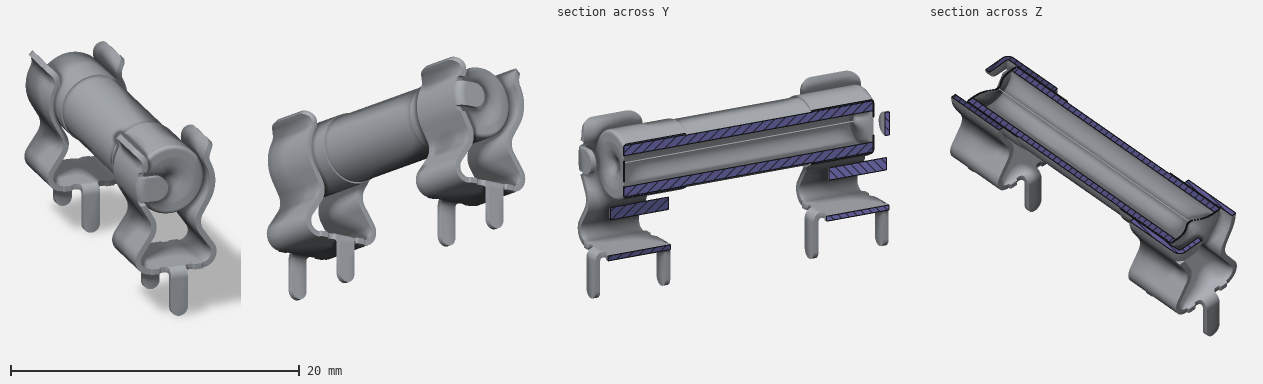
import cadquery as cq
import math


fuse_length = 20.0
cap_diameter = 5.0
cap_length = 5.0
cap_edge_radius = 0.25
tube_diameter = 4.8
tube_bore = 3.8
wire_diameter = 0.1
cap_wall = (cap_diameter - tube_diameter) / 2

funnel_mouth_radius = 1.7
funnel_throat_radius = 0.35
funnel_flare_radius = 2.18
funnel_angle = math.asin((funnel_mouth_radius - funnel_throat_radius) / funnel_flare_radius)
funnel_bottom_radius = funnel_throat_radius / math.sin(funnel_angle)
funnel_depth = (funnel_flare_radius + funnel_bottom_radius) * (1 - math.cos(funnel_angle))

sheet = 0.4
clip_span = 6.0
clip_width = 4.65
clip_depth = 6.0
overall_length = 23.4
clip_x = -(overall_length - clip_span) / 2
clip_end_x = clip_x - clip_width / 2

grip_radius = cap_diameter / 2
grip_outer_radius = grip_radius + sheet
grip_top_angle = 28.0
grip_bottom_angle = -30.0
lip_bend_radius = 0.75
lip_angle = 45.0
lip_length = 0.37
shoulder_length = 1.05
waist_bend_radius = 1.1
foot_bend_radius = 0.68
lip_corner_radius = 0.98

base_bottom_z = -6.35
base_top_z = base_bottom_z + sheet

leg_width = 1.25
leg_tip_z = -9.43
leg_bend_outer_radius = (clip_span - clip_width) / 2
leg_bend_inner_radius = leg_bend_outer_radius - sheet
leg_root_fillet = 0.28

ear_inner_y = 1.2
ear_outer_y = 1.92
ear_reach = 0.19
ear_corner_radius = 0.15

stop_width = 1.73
stop_tip_y = 0.68
stop_bend_outer_radius = 0.54
stop_bend_inner_radius = stop_bend_outer_radius - sheet
stop_bend_start_x = clip_end_x + 0.3
stop_outer_x = stop_bend_start_x - stop_bend_outer_radius
stop_notch_width = 2.48
stop_notch_corner_radius = 0.23

same_point = 0.0002


def polar(centre, radius, angle):
    """Point at a distance and an angle in degrees from a centre."""
    turn = math.radians(angle)
    return (centre[0] + radius * math.cos(turn), centre[1] + radius * math.sin(turn))


def funnel_points(setback):
    """Mouth, flare middle, throat, bottom middle and bottom of the funnel, as (x, radius).

    The setback is measured into the cap, at right angles to the funnel surface.
    """
    end_x = -fuse_length / 2
    flare_centre = (end_x + funnel_flare_radius, funnel_mouth_radius)
    bottom_centre = (end_x + funnel_depth - funnel_bottom_radius, 0)
    flare = funnel_flare_radius - setback
    bottom = funnel_bottom_radius + setback
    angle = math.degrees(funnel_angle)
    return [
        polar(flare_centre, flare, 180),
        polar(flare_centre, flare, 180 + angle / 2),
        polar(flare_centre, flare, 180 + angle),
        polar(bottom_centre, bottom, angle / 2),
        polar(bottom_centre, bottom, 0),
    ]


def round_bar(diameter, length):
    """Solid round bar on the fuse axis, centred on the fuse."""
    return cq.Workplane("YZ", origin=(-length / 2, 0, 0)).circle(diameter / 2).extrude(length)


def make_cap():
    """Thin cup over the -X end of the tube, with a funnel in its closed end."""
    end_x = -fuse_length / 2
    inside_x = end_x + cap_wall
    open_x = end_x + cap_length
    edge_start = cap_diameter / 2 - cap_edge_radius
    edge_centre = (end_x + cap_edge_radius, edge_start)
    front = funnel_points(0)
    back = funnel_points(cap_wall)
    profile = (
        cq.Workplane("XY")
        .moveTo(*front[4])
        .threePointArc(front[3], front[2])
        .threePointArc(front[1], front[0])
        .lineTo(end_x, edge_start)
        .threePointArc(polar(edge_centre, cap_edge_radius, 135), (edge_centre[0], cap_diameter / 2))
        .lineTo(open_x, cap_diameter / 2)
        .lineTo(open_x, tube_diameter / 2)
        .lineTo(inside_x, tube_diameter / 2)
        .lineTo(*back[0])
        .threePointArc(back[1], back[2])
        .threePointArc(back[3], back[4])
        .close()
    )
    cup = profile.revolve(360, (0, 0, 0), (1, 0, 0))
    return cup.cut(round_bar(wire_diameter, fuse_length))


def make_tube():
    """Hollow tube between the end walls of the caps."""
    tube_length = fuse_length - 2 * cap_wall
    return round_bar(tube_diameter, tube_length).cut(round_bar(tube_bore, tube_length))


def make_wire():
    """Fuse wire on the axis, ending flush with the bottoms of the funnels."""
    return round_bar(wire_diameter, fuse_length - 2 * funnel_depth)


def clip_bends():
    """Bends of the +Y half from base to lip: (centre, inside radius, first angle, last angle, side).

    Side is +1 where the bend centre lies inside the clip and -1 where it lies outside.
    """
    grip_centre = (0, 0)
    lip_reach = grip_outer_radius + lip_bend_radius
    lip_centre = polar(grip_centre, lip_reach, grip_top_angle)
    waist_reach = grip_outer_radius + waist_bend_radius
    shoulder_top = polar(grip_centre, waist_reach, grip_bottom_angle)
    waist_centre = polar(shoulder_top, shoulder_length, grip_bottom_angle - 90)
    foot_outer = foot_bend_radius + sheet
    foot_centre = (clip_depth / 2 - foot_outer, base_bottom_z + foot_outer)

    dy = waist_centre[0] - foot_centre[0]
    dz = waist_centre[1] - foot_centre[1]
    spread = math.acos((foot_outer + waist_bend_radius) / math.hypot(dy, dz))
    straight_angle = math.degrees(math.atan2(dz, dy) - spread)

    return [
        (foot_centre, foot_bend_radius, -90, straight_angle, 1),
        (waist_centre, waist_bend_radius, 180 + straight_angle, 180 + grip_bottom_angle, -1),
        (grip_centre, grip_radius, grip_bottom_angle, grip_top_angle, 1),
        (lip_centre, lip_bend_radius, 180 + grip_top_angle, 180 - lip_angle, -1),
    ]


def clip_face_arcs(outer):
    """Start, middle and end points of the bends along the outer or the inner sheet face."""
    arcs = []
    for centre, radius, first, last, side in clip_bends():
        is_far_face = outer == (side > 0)
        face_radius = radius + sheet if is_far_face else radius
        angles = (first, (first + last) / 2, last)
        arcs.append([polar(centre, face_radius, angle) for angle in angles])
    return arcs


def lip_tip(outer):
    """Free corner of the lip on the outer or the inner sheet face."""
    return polar(clip_face_arcs(outer)[-1][2], lip_length, lip_angle)


def trace_bends(outline, start_point, arcs):
    """Continue an outline through arcs, with a straight wherever the next arc starts further on."""
    here = start_point
    for start, middle, end in arcs:
        if math.dist(here, start) > same_point:
            outline = outline.lineTo(*start)
        outline = outline.threePointArc(middle, end)
        here = end
    return outline


def make_clip_half():
    """The +Y half of the bent strip, up to the middle of the base."""
    base_start = (0, base_bottom_z)
    inner_tip = lip_tip(outer=False)
    inner_arcs = [arc[::-1] for arc in reversed(clip_face_arcs(outer=False))]
    outline = cq.Workplane("YZ", origin=(clip_end_x, 0, 0)).moveTo(*base_start)
    outline = trace_bends(outline, base_start, clip_face_arcs(outer=True))
    outline = outline.lineTo(*lip_tip(outer=True)).lineTo(*inner_tip)
    outline = trace_bends(outline, inner_tip, inner_arcs)
    outline = outline.lineTo(0, base_top_z).close()
    strip = outline.extrude(clip_width)
    return strip.cut(lip_corners())


def lip_corners():
    """Waste outside the rounded corners of the +Y lip, cut square to the lip."""
    tip_y, tip_z = lip_tip(outer=False)
    across_lip = cq.Plane(
        origin=(clip_x, tip_y, tip_z),
        xDir=(1, 0, 0),
        normal=(0, -math.sin(math.radians(lip_angle)), math.cos(math.radians(lip_angle))),
    )
    cut_depth = 2 * sheet
    block = (
        cq.Workplane(across_lip)
        .center(0, -lip_corner_radius / 2)
        .rect(clip_width, lip_corner_radius)
        .extrude(cut_depth, both=True)
    )
    kept = (
        cq.Workplane(across_lip)
        .center(0, -clip_width / 2)
        .rect(clip_width, clip_width)
        .extrude(cut_depth, both=True)
        .edges(cq.selectors.ParallelDirSelector(across_lip.zDir))
        .fillet(lip_corner_radius)
    )
    return block.cut(kept)


def make_leg():
    """Leg at the -X edge of the base: a bend, then a round-ended blade."""
    outer = leg_bend_outer_radius
    inner = leg_bend_inner_radius
    bend_centre = (clip_end_x, base_top_z - outer)
    leg_x = clip_end_x - outer
    bend = (
        cq.Workplane("XZ")
        .moveTo(clip_end_x, base_top_z)
        .threePointArc(polar(bend_centre, outer, 135), (leg_x, bend_centre[1]))
        .lineTo(leg_x + sheet, bend_centre[1])
        .threePointArc(polar(bend_centre, inner, 135), (clip_end_x, base_bottom_z))
        .close()
    )
    root_width = leg_width + 2 * leg_root_fillet
    wide_bend = bend.extrude(root_width / 2, both=True)
    plan = (
        cq.Workplane("XY", origin=(0, 0, bend_centre[1]))
        .moveTo(clip_end_x, root_width / 2)
        .radiusArc((clip_end_x - leg_root_fillet, leg_width / 2), leg_root_fillet)
        .lineTo(leg_x, leg_width / 2)
        .lineTo(leg_x, -leg_width / 2)
        .lineTo(clip_end_x - leg_root_fillet, -leg_width / 2)
        .radiusArc((clip_end_x, -root_width / 2), leg_root_fillet)
        .close()
        .extrude(outer)
    )
    round_z = leg_tip_z + leg_width / 2
    blade = (
        cq.Workplane("YZ", origin=(leg_x, 0, 0))
        .moveTo(-leg_width / 2, bend_centre[1])
        .lineTo(-leg_width / 2, round_z)
        .threePointArc((0, leg_tip_z), (leg_width / 2, round_z))
        .lineTo(leg_width / 2, bend_centre[1])
        .close()
        .extrude(sheet)
    )
    return wide_bend.intersect(plan).union(blade)


def make_ear():
    """Ear on the -X edge of the base, on its +Y side."""
    return (
        cq.Workplane("XY")
        .box(ear_reach, ear_outer_y - ear_inner_y, sheet, centered=False)
        .edges("|Z and <X")
        .fillet(ear_corner_radius)
        .translate((clip_end_x - ear_reach, ear_inner_y, base_bottom_z))
    )


def stop_notch():
    """Clearance in the grip edge where the stop tab bends away."""
    depth = stop_bend_start_x - clip_end_x
    return (
        cq.Workplane("XY")
        .box(2 * depth, sheet * 3, stop_notch_width)
        .edges("|Y and >X")
        .fillet(stop_notch_corner_radius)
        .translate((clip_end_x, grip_radius + sheet / 2, 0))
    )


def make_stop():
    """Stop tab at the -X end of the +Y grip, with a round tip."""
    outer_y = grip_outer_radius
    bend_centre = (stop_bend_start_x, outer_y - stop_bend_outer_radius)
    rim = (
        cq.Workplane("XY")
        .moveTo(stop_bend_start_x, outer_y)
        .threePointArc(polar(bend_centre, stop_bend_outer_radius, 135), (stop_outer_x, bend_centre[1]))
        .lineTo(stop_outer_x, stop_tip_y)
        .lineTo(stop_outer_x + sheet, stop_tip_y)
        .lineTo(stop_outer_x + sheet, bend_centre[1])
        .threePointArc(
            polar(bend_centre, stop_bend_inner_radius, 135), (stop_bend_start_x, grip_radius)
        )
        .close()
        .revolve(360, (0, 0, 0), (1, 0, 0))
    )
    tip_round = stop_width / 2
    reach = outer_y - stop_tip_y
    face = (
        cq.Workplane("YZ", origin=(stop_outer_x, 0, 0))
        .moveTo(stop_tip_y + reach, -tip_round)
        .lineTo(stop_tip_y + tip_round, -tip_round)
        .threePointArc((stop_tip_y, 0), (stop_tip_y + tip_round, tip_round))
        .lineTo(stop_tip_y + reach, tip_round)
        .close()
        .extrude(stop_bend_outer_radius)
    )
    return rim.intersect(face)


def make_clip():
    """Clip at the -X end of the fuse."""
    half = make_clip_half()
    clip = half.union(half.mirror("XZ"))
    edge_parts = make_leg().union(make_ear()).union(make_ear().mirror("XZ"))
    clip = clip.union(edge_parts)
    clip = clip.union(edge_parts.mirror("YZ", (clip_x, 0, 0)))
    return clip.cut(stop_notch()).union(make_stop())


caps = []
clips = []
for turn in (0, 180):
    caps.append(make_cap().rotate((0, 0, 0), (0, 0, 1), turn))
    clips.append(make_clip().rotate((0, 0, 0), (0, 0, 1), turn))
tube = make_tube()
wire = make_wire()

result = cq.Compound.makeCompound(
    [
        *[cap.val() for cap in caps],
        *[clip.val() for clip in clips],
        tube.val(),
        wire.val(),
    ]
)